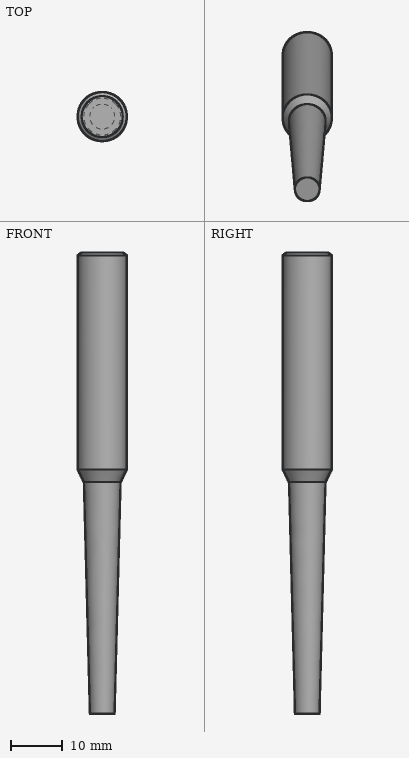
import cadquery as cq

total_length = 88.9
shank_diameter = 9.5

blade_length = 44.6
blade_tip_diameter = 4.8
blade_root_diameter = 7.1

shoulder_height = 2.5
top_chamfer_height = 0.6
top_chamfer_width = 0.8

shank_radius = shank_diameter / 2
blade_tip_radius = blade_tip_diameter / 2
blade_root_radius = blade_root_diameter / 2


def turned_body(profile):
    """Revolve a closed half profile of (radius, height) points about the Z axis."""
    return cq.Workplane("XZ").polyline(profile).close().revolve(360, (0, 0), (0, 1))


def make_blade():
    """Cone that widens from the tip up to the shank."""
    return turned_body([
        (0, 0),
        (blade_tip_radius, 0),
        (blade_root_radius, blade_length),
        (0, blade_length),
    ])


def make_shank():
    """Cylinder with a conical shoulder at the blade and a chamfer at the top."""
    return turned_body([
        (0, blade_length),
        (blade_root_radius, blade_length),
        (shank_radius, blade_length + shoulder_height),
        (shank_radius, total_length - top_chamfer_height),
        (shank_radius - top_chamfer_width, total_length),
        (0, total_length),
    ])


blade = make_blade()
shank = make_shank()

result = cq.Compound.makeCompound([blade.val(), shank.val()])